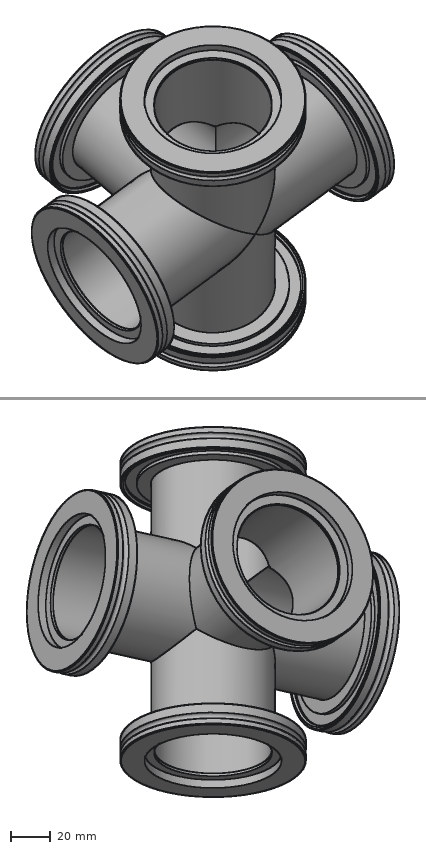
import cadquery as cq

reach = 82.8

tube_outer_d = 63.5
tube_inner_d = 60.0

flange_d = 95.0
flange_thickness = 12.0
edge_chamfer = 0.5
recess_d = 70.0
recess_depth = 4.5
lip_d = 60.3
lip_thickness = 1.5
socket_d = 63.8
clamp_groove_offset = 5.0
clamp_groove_width = 3.1
clamp_groove_depth = clamp_groove_width / 2
hub_d = 78.0
back_groove_d = 90.0
back_groove_depth = 2.0
back_groove_mouth_d = 92.0

tube_length = reach - recess_depth - lip_thickness

x_axis = cq.Vector(1, 0, 0)
y_axis = cq.Vector(0, 1, 0)
ring_turns = [(x_axis, angle) for angle in (0, 90, 180, 270)]
side_turn = (y_axis, -90)


def turned(body, turn):
    """Turn a body modelled along +Z into its branch direction."""
    axis, angle = turn
    return body.rotate(cq.Vector(0, 0, 0), axis, angle)


def mitre_wedge(profile_plane):
    """Space between two 45 degree planes that rise on both sides of the origin."""
    return (
        cq.Workplane(profile_plane)
        .polyline([(0, 0), (reach, reach), (-reach, reach)])
        .close()
        .extrude(reach, both=True)
    )


def straight_pipe():
    """Plain tube along +Z, from the origin to the lip of its flange."""
    return (
        cq.Workplane("XY")
        .circle(tube_outer_d / 2)
        .circle(tube_inner_d / 2)
        .extrude(tube_length)
    )


def side_branch_wedge():
    """Space taken by the -X tube, bounded by its mitre planes with all four ring tubes."""
    wedge = mitre_wedge("YZ").intersect(mitre_wedge("XZ"))
    return turned(wedge, side_turn)


def ring_tube(turn):
    """Tube of the +Z, -Y, -Z, +Y ring, mitred to its two ring neighbours and the -X tube."""
    mitred = straight_pipe().intersect(mitre_wedge("YZ"))
    return turned(mitred, turn).cut(side_branch_wedge())


def side_tube():
    """Tube along -X, pointed where it meets the four ring tubes."""
    return turned(straight_pipe(), side_turn).intersect(side_branch_wedge())


def flange_blank():
    """Disc with chamfered rim edges, its sealing face at the full reach."""
    return (
        cq.Workplane("XY", origin=(0, 0, reach - flange_thickness))
        .circle(flange_d / 2)
        .extrude(flange_thickness)
        .edges()
        .chamfer(edge_chamfer)
    )


def clamp_groove():
    """Ring with a round-bottomed section that cuts the clamp groove into the rim."""
    rim = flange_d / 2
    middle = reach - clamp_groove_offset
    half_width = clamp_groove_width / 2
    return (
        cq.Workplane("XZ")
        .moveTo(rim, middle - half_width)
        .threePointArc((rim - clamp_groove_depth, middle), (rim, middle + half_width))
        .close()
        .revolve(360, (0, 0, 0), (0, 1, 0))
    )


def flange_bore():
    """Recess, lip bore and tube socket, stacked from the sealing face to the back face."""
    recess_floor = reach - recess_depth
    recess = cq.Workplane("XY", origin=(0, 0, recess_floor)).circle(recess_d / 2).extrude(recess_depth)
    lip_bore = cq.Workplane("XY", origin=(0, 0, tube_length)).circle(lip_d / 2).extrude(lip_thickness)
    socket_depth = flange_thickness - recess_depth - lip_thickness
    socket = cq.Workplane("XY", origin=(0, 0, tube_length)).circle(socket_d / 2).extrude(-socket_depth)
    return recess.union(lip_bore).union(socket)


def back_groove():
    """Annular groove that leaves a hub around the tube; its outer wall flares at the mouth."""
    back_face = reach - flange_thickness
    floor = back_face + back_groove_depth
    flare_height = (back_groove_mouth_d - back_groove_d) / 2
    section = [
        (hub_d / 2, back_face),
        (hub_d / 2, floor),
        (back_groove_d / 2, floor),
        (back_groove_d / 2, back_face + flare_height),
        (back_groove_mouth_d / 2, back_face),
    ]
    return cq.Workplane("XZ").polyline(section).close().revolve(360, (0, 0, 0), (0, 1, 0))


def flange(turn):
    """Complete flange, turned to the end of its branch."""
    body = flange_blank().cut(clamp_groove()).cut(flange_bore()).cut(back_groove())
    return turned(body, turn)


tubes = [ring_tube(turn) for turn in ring_turns] + [side_tube()]
flanges = [flange(turn) for turn in ring_turns + [side_turn]]

result = cq.Compound.makeCompound([body.val() for body in tubes + flanges])